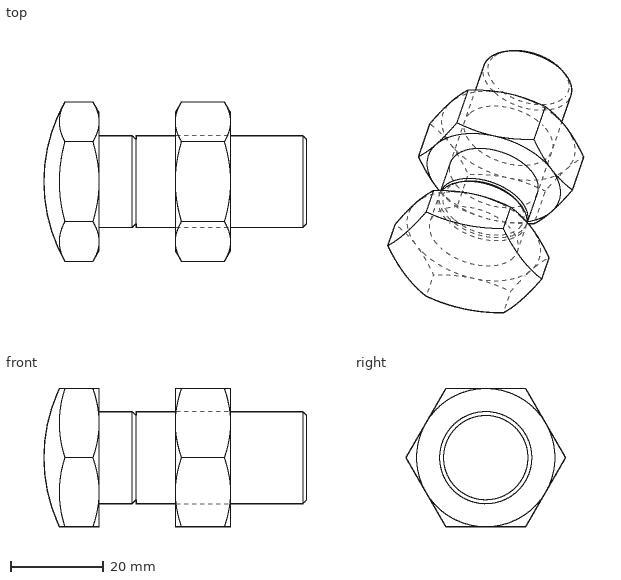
import cadquery as cq
import math

across_flats = 30.0
across_corners = across_flats / math.cos(math.radians(30))
hex_thickness = 12.0
corner_chamfer_angle = 30.0

bolt_length = 57.0
shank_radius = 10.0
dome_radius = 35.0
groove_end = 20.0
thread_depth = 0.85

nut_start = 28.5
nut_end = nut_start + hex_thickness

corner_radius = across_corners / 2
chamfer_length = (corner_radius - across_flats / 2) * math.tan(math.radians(corner_chamfer_angle))


def hex_prism(start):
    """Hexagonal prism along X with two corners on the Y axis."""
    return cq.Workplane("YZ", origin=(start, 0, 0)).polygon(6, across_corners).extrude(hex_thickness)


def revolve_about_x(profile):
    """Full turn of a closed XY profile about the X axis."""
    return profile.revolve(360, (0, 0, 0), (1, 0, 0))


def make_head():
    """Hexagonal head with a spherical dome in front and chamfered corners behind."""
    dome_sag = dome_radius - math.sqrt(dome_radius**2 - corner_radius**2)
    half_chord = corner_radius / 2
    half_chord_sag = dome_radius - math.sqrt(dome_radius**2 - half_chord**2)
    envelope = revolve_about_x(
        cq.Workplane("XY")
        .moveTo(0, 0)
        .threePointArc((half_chord_sag, half_chord), (dome_sag, corner_radius))
        .lineTo(hex_thickness - chamfer_length, corner_radius)
        .lineTo(hex_thickness, across_flats / 2)
        .lineTo(hex_thickness, 0)
        .close()
    )
    return hex_prism(0).intersect(envelope)


def make_shank():
    """Round shank with a one-sided thread groove and a chamfered tip."""
    root_radius = shank_radius - thread_depth
    return revolve_about_x(
        cq.Workplane("XY")
        .moveTo(hex_thickness, 0)
        .lineTo(hex_thickness, shank_radius)
        .lineTo(groove_end - thread_depth, shank_radius)
        .lineTo(groove_end, root_radius)
        .lineTo(groove_end, shank_radius)
        .lineTo(bolt_length - thread_depth, shank_radius)
        .lineTo(bolt_length, root_radius)
        .lineTo(bolt_length, 0)
        .close()
    )


def make_bolt():
    """Domed bolt: head and shank in one piece."""
    return make_head().union(make_shank())


def make_nut():
    """Hexagonal nut with corners chamfered at both ends and a bore that fits the shank."""
    envelope = revolve_about_x(
        cq.Workplane("XY")
        .moveTo(nut_start, shank_radius)
        .lineTo(nut_start, across_flats / 2)
        .lineTo(nut_start + chamfer_length, corner_radius)
        .lineTo(nut_end - chamfer_length, corner_radius)
        .lineTo(nut_end, across_flats / 2)
        .lineTo(nut_end, shank_radius)
        .close()
    )
    return hex_prism(nut_start).intersect(envelope)


bolt = make_bolt()
nut = make_nut()
result = cq.Compound.makeCompound([bolt.solids().val(), nut.solids().val()])